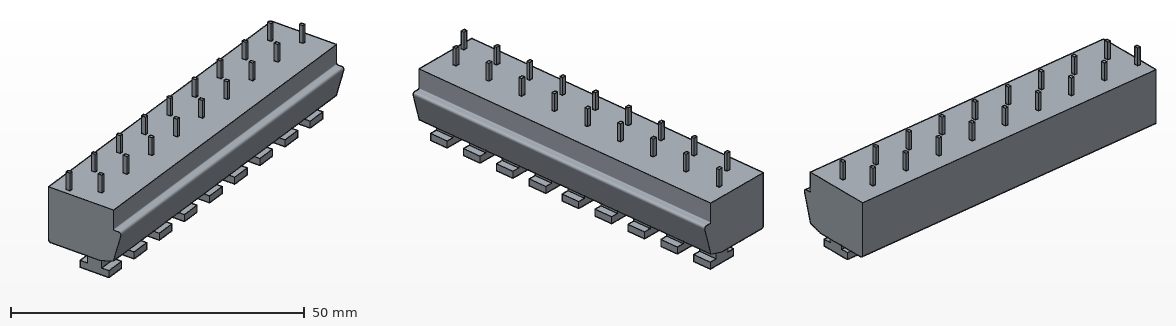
import cadquery as cq

length = 66.5
body_height = 11.0
wall_x = 13.5
nose_top = 7.0
ledge_radius = 0.2
nose_tip_x = 15.15
nose_radius = 0.45
slope_break_x = 13.4
slope_break_z = 0.8
bevel_start_x = 10.7
back_edge_radius = 0.5

pole_count = 9
pole_span = 60.0
pole_pitch = pole_span / (pole_count - 1)
first_button_y = 3.0

pin_width = 0.8
pin_thickness = 0.6
pin_height = 3.5
back_pin_x = 3.4
row_spacing = 4.85
back_pin_offset = -1.7
pin_stagger = 2.5

button_x = 8.8
button_width = 3.8
stem_depth = 3.0
head_depth = 6
button_height = 3.6
head_height = 1.4


def round_edge(housing, x, z, radius):
    """Fillet the lengthwise edge of the housing that runs through (x, z)."""
    edge = cq.selectors.NearestToPointSelector((x, length / 2, z))
    return housing.edges(edge).fillet(radius)


def make_housing():
    profile = [
        (0, 0),
        (bevel_start_x, 0),
        (slope_break_x, slope_break_z),
        (nose_tip_x, nose_top),
        (wall_x, nose_top),
        (wall_x, body_height),
        (0, body_height),
    ]
    housing = cq.Workplane("XZ").polyline(profile).close().extrude(-length)
    housing = round_edge(housing, 0, 0, back_edge_radius)
    housing = round_edge(housing, wall_x, nose_top, ledge_radius)
    return round_edge(housing, nose_tip_x, nose_top, nose_radius)


def block(x, y, z_bottom, size_x, size_y, height):
    """Box centred on (x, y) and standing on z_bottom."""
    return cq.Workplane("XY", origin=(x, y, z_bottom)).rect(size_x, size_y).extrude(height)


def make_pins(button_y):
    back_y = button_y + back_pin_offset
    front_x = back_pin_x + row_spacing
    front_y = back_y + pin_stagger
    back = block(back_pin_x, back_y, body_height, pin_width, pin_thickness, pin_height)
    front = block(front_x, front_y, body_height, pin_width, pin_thickness, pin_height)
    return back.union(front)


def make_button(y):
    stem = block(button_x, y, -button_height, stem_depth, button_width, button_height)
    head = block(button_x, y, -button_height, head_depth, button_width, head_height)
    return stem.union(head)


result = make_housing()
for pole in range(pole_count):
    pole_y = first_button_y + pole * pole_pitch
    result = result.union(make_pins(pole_y)).union(make_button(pole_y))